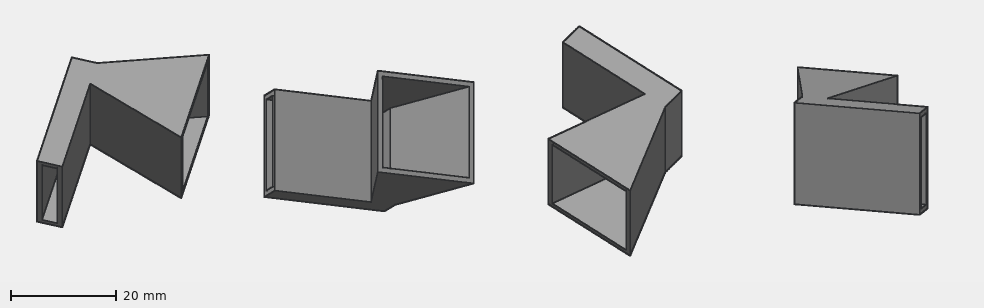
import cadquery as cq

total_length = 32.5
height = 20.0
arm_width = 5.0
horn_length = 20.0
mouth_width = 20.0
wall = 1.0

horn_center_y = total_length - mouth_width / 2
mouth_x = arm_width + horn_length


def duct_body(inset, body_height):
    """Arm and flared horn as one prism, with the side walls moved inward by inset."""
    throat_half = arm_width / 2 - inset
    mouth_half = mouth_width / 2 - inset
    arm = (
        cq.Workplane("XY")
        .moveTo(inset, 0)
        .lineTo(arm_width - inset, 0)
        .lineTo(arm_width - inset, horn_center_y + throat_half)
        .lineTo(inset, horn_center_y + throat_half)
        .close()
        .extrude(body_height)
    )
    horn = (
        cq.Workplane("XY")
        .moveTo(arm_width / 2, horn_center_y - throat_half)
        .lineTo(arm_width, horn_center_y - throat_half)
        .lineTo(mouth_x, horn_center_y - mouth_half)
        .lineTo(mouth_x, horn_center_y + mouth_half)
        .lineTo(arm_width, horn_center_y + throat_half)
        .lineTo(arm_width / 2, horn_center_y + throat_half)
        .close()
        .extrude(body_height)
    )
    return arm.union(horn).clean()


outer = duct_body(0, height)

passage = duct_body(wall, height - 2 * wall).translate((0, 0, wall))

result = outer.cut(passage)